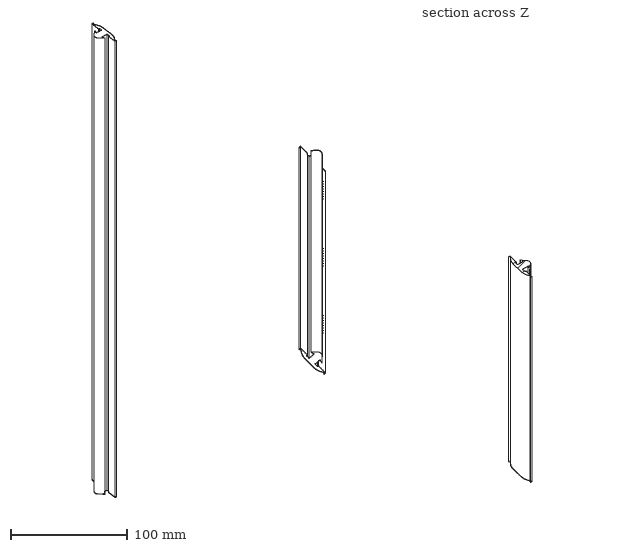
import cadquery as cq
import math

length = 500.0
width = 31.5
depth = 13.5

half_width = width / 2
crown_half_width = 14.0
crown_flat_half_width = 5.5
crown_drop = 3.0
lip_top = 2.25
plate_bottom = 4.0
foot_inner = 6.75
recess_depth = 3.0

stem_half_width = 3.75
hook_depth = 8.75
barb_half_width = 6.75
barb_tip_depth = 8.0

nose_radius = 4.0
nose_center_y = nose_radius - depth
tip_rise = -barb_tip_depth - nose_center_y
tip_distance = math.hypot(barb_half_width, tip_rise)
tangent_angle = math.atan2(tip_rise, barb_half_width) - math.acos(nose_radius / tip_distance)


def nose_point(angle):
    """Point on the nose circle, with the angle measured from +X."""
    return (nose_radius * math.cos(angle), nose_center_y + nose_radius * math.sin(angle))


def half_profile():
    """Right half of the cover plate, stem and barbed head."""
    return (
        cq.Workplane("XY")
        .moveTo(0, 0)
        .lineTo(crown_flat_half_width, 0)
        .tangentArcPoint((crown_half_width, -crown_drop), relative=False)
        .lineTo(half_width, -lip_top)
        .lineTo(half_width, -plate_bottom)
        .lineTo(foot_inner, -plate_bottom)
        .lineTo(foot_inner, -recess_depth)
        .lineTo(stem_half_width, -recess_depth)
        .lineTo(stem_half_width, -hook_depth)
        .lineTo(barb_half_width, -barb_tip_depth)
        .lineTo(*nose_point(tangent_angle))
        .threePointArc(nose_point((tangent_angle - math.pi / 2) / 2), (0, -depth))
        .close()
    )


right_half = half_profile().extrude(length)
left_half = right_half.mirror("YZ")
result = right_half.union(left_half)